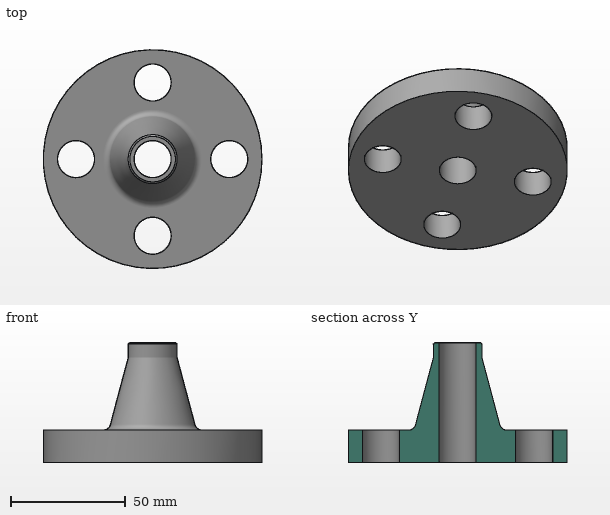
import cadquery as cq

flange_diameter = 95.2
flange_thickness = 14.3
total_height = 52.3

bolt_hole_count = 4
bolt_hole_diameter = 16.0
bolt_circle_diameter = 66.7

hub_base_diameter = 38.1
neck_diameter = 21.3
neck_length = 6.6
bevel_width = 0.8
bevel_height = 0.6
bore_diameter = 16.0
root_fillet_radius = 3.0


def hub_edge_at_root(body):
    """Find the circle where the cone meets the top face of the flange."""
    margin = 0.1
    radius = hub_base_diameter / 2 + margin
    box = cq.selectors.BoxSelector(
        (-radius, -radius, flange_thickness - margin),
        (radius, radius, flange_thickness + margin),
        boundingbox=True,
    )
    return body.edges(box)


def make_flanged_hub():
    """Revolve the solid outline of the plate, cone and neck about Z and round the hub root."""
    profile = (
        cq.Workplane("XZ")
        .moveTo(0, 0)
        .lineTo(flange_diameter / 2, 0)
        .lineTo(flange_diameter / 2, flange_thickness)
        .lineTo(hub_base_diameter / 2, flange_thickness)
        .lineTo(neck_diameter / 2, total_height - neck_length)
        .lineTo(neck_diameter / 2, total_height - bevel_height)
        .lineTo(neck_diameter / 2 - bevel_width, total_height)
        .lineTo(0, total_height)
        .close()
    )
    body = profile.revolve(360, (0, 0, 0), (0, 1, 0))
    return hub_edge_at_root(body).fillet(root_fillet_radius)


def drill_bore(body):
    return body.faces("<Z").workplane(origin=(0, 0, 0)).hole(bore_diameter)


def drill_bolt_holes(body):
    return (
        body.faces("<Z")
        .workplane(origin=(0, 0, 0))
        .polarArray(bolt_circle_diameter / 2, 0, 360, bolt_hole_count)
        .hole(bolt_hole_diameter)
    )


result = drill_bolt_holes(drill_bore(make_flanged_hub()))